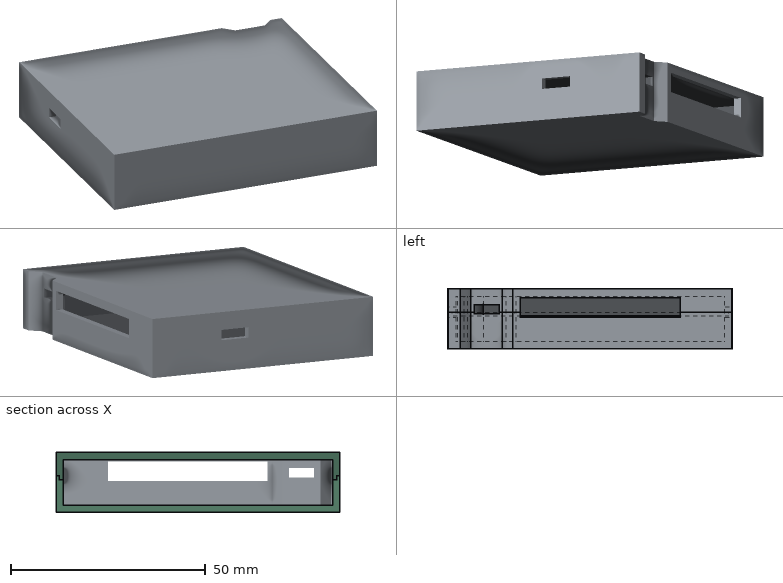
import cadquery as cq

WIDTH = 63.6
LENGTH = 73.0
HEIGHT = 15.5
WALL = 2.0
LID_HEIGHT = 6.0
SEAM_Z = HEIGHT - LID_HEIGHT

NOTCH_DEPTH = 2.6
NOTCH_LENGTH = 13.4
NOTCH_END_GAP = 3.2
NOTCH_MAX_Y = LENGTH - NOTCH_END_GAP
NOTCH_MIN_Y = NOTCH_MAX_Y - NOTCH_LENGTH

LIP_DROP = 1.0
LIP_THICKNESS = WALL / 2
LIP_Z = SEAM_Z - LIP_DROP

CARD_Y = 13.35
CARD_LENGTH = 41.0
CARD_TOP_Z = HEIGHT - 2.3
CARD_BOTTOM_Z = HEIGHT - 7.4

PORT_LENGTH = 6.4
PORT_Y = (NOTCH_MIN_Y + NOTCH_MAX_Y - PORT_LENGTH) / 2
PORT_TOP_Z = HEIGHT - 4.1
PORT_BOTTOM_Z = HEIGHT - 6.5

CABLE_X = 19.85
CABLE_WIDTH = 7.9
CABLE_TOP_Z = HEIGHT - 4.7
CABLE_BOTTOM_Z = CARD_BOTTOM_Z

POST_DIAMETER = 5.0
POST_INSET = 6.6


def outline_prism(inset, bottom_z, top_z):
    """Prism of the notched case outline, moved inward by inset."""
    outline = cq.Workplane("XY", origin=(0, 0, bottom_z)).polyline([
        (0, 0),
        (WIDTH, 0),
        (WIDTH, LENGTH),
        (0, LENGTH),
        (0, NOTCH_MAX_Y),
        (NOTCH_DEPTH, NOTCH_MAX_Y - NOTCH_DEPTH),
        (NOTCH_DEPTH, NOTCH_MIN_Y + NOTCH_DEPTH),
        (0, NOTCH_MIN_Y),
    ]).close()
    if inset > 0:
        outline = outline.offset2D(-inset, "intersection")
    return outline.extrude(top_z - bottom_z)


def block(x_range, y_range, z_range):
    """Box between the given limits along each axis."""
    lengths = [end - start for start, end in (x_range, y_range, z_range)]
    corner = (x_range[0], y_range[0], z_range[0])
    return cq.Workplane("XY").box(*lengths, centered=False).translate(corner)


def cut_openings(body):
    """Cut the card slot, the port and both cable slots through the walls."""
    card_slot = block(
        (0, WALL), (CARD_Y, CARD_Y + CARD_LENGTH), (CARD_BOTTOM_Z, CARD_TOP_Z)
    )
    port = block(
        (0, NOTCH_DEPTH + WALL), (PORT_Y, PORT_Y + PORT_LENGTH), (PORT_BOTTOM_Z, PORT_TOP_Z)
    )
    body = body.cut(card_slot).cut(port)
    for wall_y in (0, LENGTH - WALL):
        cable_slot = block(
            (CABLE_X, CABLE_X + CABLE_WIDTH),
            (wall_y, wall_y + WALL),
            (CABLE_BOTTOM_Z, CABLE_TOP_Z),
        )
        body = body.cut(cable_slot)
    return body


def lip_ring():
    """Ring filled by the lid lip, interrupted where the wall steps in behind the notch."""
    ring = outline_prism(WALL - LIP_THICKNESS, LIP_Z, SEAM_Z).cut(outline_prism(WALL, LIP_Z, SEAM_Z))
    notch_wall = block((0, NOTCH_DEPTH + WALL), (NOTCH_MIN_Y, NOTCH_MAX_Y), (LIP_Z, SEAM_Z))
    return ring.cut(notch_wall)


def make_base():
    """Open tray with a rebate for the lid lip around its rim."""
    tray = outline_prism(0, 0, SEAM_Z)
    cavity = outline_prism(WALL, WALL, SEAM_Z)
    return cut_openings(tray.cut(cavity).cut(lip_ring()))


def make_lid():
    """Hollow cover with a locating lip and a corner post."""
    roof_z = HEIGHT - WALL
    cover = outline_prism(0, SEAM_Z, HEIGHT)
    cavity = outline_prism(WALL, SEAM_Z, roof_z)
    shell = cut_openings(cover.cut(cavity).union(lip_ring()))
    post = (
        cq.Workplane("XY", origin=(WIDTH - POST_INSET, LENGTH - POST_INSET, WALL))
        .circle(POST_DIAMETER / 2)
        .extrude(roof_z - WALL)
    )
    return shell.union(post)


base = make_base()
lid = make_lid()
result = cq.Compound.makeCompound([base.val(), lid.val()])